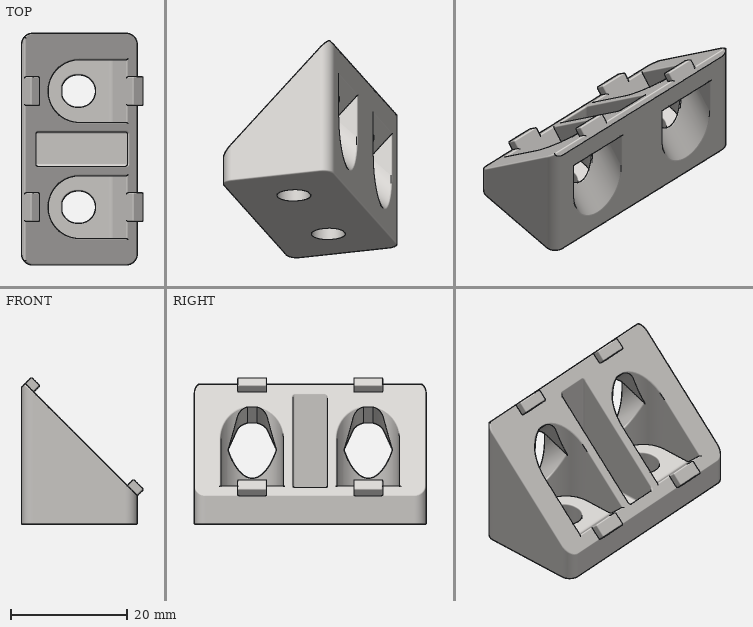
import cadquery as cq
import math

length = 40.0
width = 20.0
slope_sum = 24.95
corner_radius = 2.0
top_cut = 23.65
edge_radius = 0.25

station_spacing = 20.0
head_radius = 5.4
hole_radius = 2.75
hole_stretch = 0.35
hole_flat = 3.0
flat_corner_radius = 0.2

upright_x = width / 2
base_thickness = 4.0
pocket_wall = 11.5
wall_fillet = 1.2

slope_plate = 4.0
slope_axis_z = 11.35
flare_angle = 18.0
flare_length = 3.6

relief_x_min = 2.5
relief_x_max = 18.3
relief_width = 5.9
relief_floor = 2.0
relief_fillet = 0.4
relief_corner = 0.4

tab_width = 5.0
tab_height = 1.5
upper_tab_length = 2.1

root2 = math.sqrt(2)
reach = 2 * length
slope_level = slope_sum / root2
seat_level = slope_level - slope_plate
slope_axis_along = -slope_axis_z / root2
wall_along = pocket_wall / root2
slope_top_along = -top_cut / root2
slope_foot_along = (2 * width - slope_sum) / root2
station_ys = (-station_spacing / 2, station_spacing / 2)

flat_half = math.sqrt(hole_radius**2 - (hole_flat - hole_stretch) ** 2)

slope_normal = cq.Vector(1, 0, 1)
slope_face = cq.selectors.DirectionMinMaxSelector(slope_normal, True)
square_to_slope = cq.selectors.ParallelDirSelector(slope_normal)


def slope_workplane(level, along, y):
    """Plane parallel to the slope: local x runs downhill, local y along Y, local z outwards."""
    plane = cq.Plane(origin=(0, 0, 0), xDir=(1, 0, -1), normal=(1, 0, 1))
    plane.origin = plane.toWorldCoords((along, y, level))
    return cq.Workplane(plane)


def slope_box(along_min, along_max, y, y_size, level_min, level_max):
    """Box aligned with the slope."""
    along_size = along_max - along_min
    base = slope_workplane(level_min, along_min + along_size / 2, y)
    return base.rect(along_size, y_size).extrude(level_max - level_min)


def stretched_circle_point(angle):
    """Point on the outer circle of a hole; the angle is in degrees from local -x."""
    turn = math.radians(angle)
    return (-hole_stretch - hole_radius * math.cos(turn), hole_radius * math.sin(turn))


def mirrored(point):
    return (point[0], -point[1])


def flat_ended(workplane, side, side_angle):
    """Outline from a point on one side of a hole, round its flat far end, to the opposite point."""
    flat_angle = math.degrees(math.asin(flat_half / hole_radius))
    arc_middle = stretched_circle_point((side_angle + flat_angle) / 2)
    corner = (-hole_flat, flat_half)
    outline = workplane.lineTo(*side).threePointArc(arc_middle, corner).lineTo(*mirrored(corner))
    return outline.threePointArc(mirrored(arc_middle), mirrored(side))


def body():
    top_x = (slope_sum - top_cut) / 2
    profile = [
        (0, 0),
        (width, 0),
        (width, slope_sum - width),
        (top_x, slope_sum - top_x),
        (0, top_cut),
    ]
    wedge = cq.Workplane("XZ").polyline(profile).close().extrude(length / 2, both=True)
    return wedge.edges("|Z").fillet(corner_radius)


def relief():
    """Level pocket with rounded plan corners and a rounded floor along its two long sides."""
    x_size = relief_x_max - relief_x_min
    floor = cq.Workplane("XY", origin=(relief_x_min + x_size / 2, 0, relief_floor))
    plan = floor.rect(x_size, relief_width).extrude(reach).edges("|Z").fillet(relief_corner)
    channel = floor.rect(reach, relief_width).extrude(reach).edges("<Z and |X").fillet(relief_fillet)
    return plan.intersect(channel)


def upright_pocket(y):
    floor = cq.Workplane("XY", origin=(upright_x, y, base_thickness))
    outline = floor.moveTo(width, head_radius).lineTo(0, head_radius)
    outline = outline.threePointArc((-head_radius, 0), (0, -head_radius)).lineTo(width, -head_radius)
    uphill = slope_box(-reach, wall_along, y, reach, -reach, reach)
    pocket = outline.close().extrude(reach).intersect(uphill)
    wall_foot = cq.NearestToPointSelector((pocket_wall + base_thickness, y, base_thickness))
    return pocket.edges(wall_foot).fillet(wall_fillet)


def slope_pocket(y):
    start_level = -head_radius
    bore = slope_workplane(start_level, slope_axis_along, y).circle(head_radius)
    uphill = slope_box(-reach, slope_axis_along, y, 2 * head_radius, start_level, seat_level)
    return bore.extrude(seat_level - start_level).union(uphill)


def upright_hole(y):
    base = cq.Workplane("XY", origin=(upright_x, y, 0)).moveTo(0, hole_radius)
    side = stretched_circle_point(90)
    outline = flat_ended(base, side, 90).lineTo(0, -hole_radius)
    outline = outline.threePointArc((hole_radius, 0), (0, hole_radius))
    hole = outline.close().extrude(base_thickness)
    return hole.faces("<X").edges("|Z").fillet(flat_corner_radius)


def slope_hole(y):
    side_angle = 90 - flare_angle
    side = stretched_circle_point(side_angle)
    end_half = side[1] + (flare_length - side[0]) * math.tan(math.radians(flare_angle))
    base = slope_workplane(seat_level, slope_axis_along, y).moveTo(flare_length, end_half)
    outline = flat_ended(base, side, side_angle).lineTo(flare_length, -end_half)
    return outline.close().extrude(reach)


def round_hole_rim(part, y):
    """Rounds the upper rim of an upright hole."""
    half = hole_flat + edge_radius
    low = (upright_x - half, y - half, base_thickness - edge_radius)
    high = (upright_x + half, y + half, base_thickness + edge_radius)
    rim = cq.selectors.BoxSelector(low, high, boundingbox=True)
    return part.edges(rim).fillet(edge_radius)


def round_ridge(part, y):
    """Rounds the ridge where the sloping pocket breaks into the upright one."""
    ridge_x = upright_x - head_radius
    ridge_z = slope_axis_z - root2 * head_radius + ridge_x
    return part.edges(cq.NearestToPointSelector((ridge_x, y, ridge_z))).fillet(edge_radius)


def tab(along_min, along_max, y):
    top_level = slope_level + tab_height
    block = slope_box(along_min, along_max, y, tab_width, slope_level - edge_radius, top_level)
    sides = block.edges(square_to_slope)
    return block.faces(slope_face).edges().add(sides).fillet(edge_radius)


result = body().cut(relief())
for y in station_ys:
    result = result.cut(upright_pocket(y)).cut(slope_pocket(y))
for y in station_ys:
    result = round_ridge(result, y)

result = result.faces(slope_face).edges().fillet(edge_radius)
result = result.faces("<Z").edges().fillet(edge_radius)
mouths = [edge for wire in result.faces("<X").val().innerWires() for edge in wire.Edges()]
result = result.newObject(mouths).fillet(edge_radius)

for y in station_ys:
    result = round_hole_rim(result.cut(upright_hole(y)), y)
    result = result.cut(slope_hole(y))
    result = result.union(tab(slope_top_along, slope_top_along + upper_tab_length, y))
    result = result.union(tab(wall_along, slope_foot_along, y))